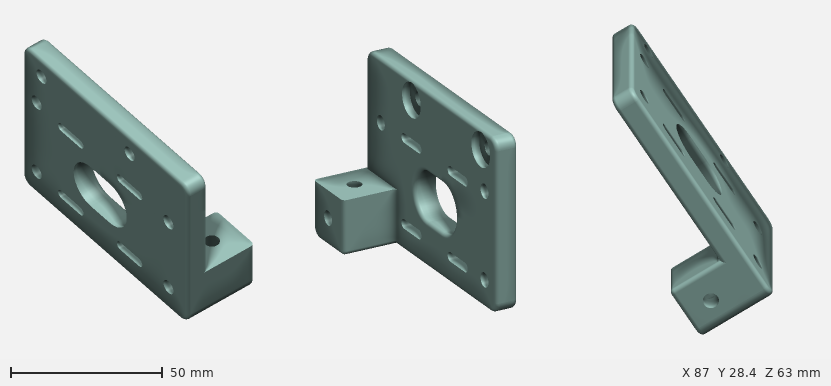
import cadquery as cq

plate_length = 87.0
plate_thickness = 8.4
plate_height = 63.0
corner_radius = 4.0
edge_radius = 1.5

block_size = 20.0
block_left = plate_length - block_size
block_back = plate_thickness + block_size
block_center_x = block_left + block_size / 2
block_center_y = plate_thickness + block_size / 2
block_center_z = block_size / 2

hole_diameter = 5.3
left_hole_x = 7.5
right_hole_x = block_center_x
side_holes = [
    (left_hole_x, 42.0),
    (left_hole_x, block_center_z),
    (right_hole_x, 40.0),
    (right_hole_x, block_center_z),
]
top_hole_z = 56.0
top_holes = [(10.0, top_hole_z), (56.5, top_hole_z)]

recess_diameter = 12.5
recess_depth = 3.0

opening_center = (41.0, 25.0)
opening_length = 28.0
opening_height = 18.0
slot_pitch = 31.0
slot_length = 13.4
slot_height = 3.4


def plane_at(y):
    """Workplane at the given Y with local axes (X, Z), extruding toward -Y."""
    return cq.Workplane("XZ", origin=(0, y, 0))


def make_plate():
    """Rounded plate with the large opening, whose back rim is rounded like the outer edges."""
    plate = plane_at(plate_thickness).rect(plate_length, plate_height, centered=False)
    plate = plate.extrude(plate_thickness)
    plate = plate.edges("|Y").fillet(corner_radius)
    plate = plate.faces("<Y").edges().fillet(edge_radius)
    opening = plane_at(plate_thickness).center(*opening_center).slot2D(opening_length, opening_height)
    plate = plate.cut(opening.extrude(plate_thickness))
    return plate.faces(">Y").edges().fillet(edge_radius)


def make_block():
    """Block that reaches into the plate far enough to cover the plate's rounded back edge."""
    block = plane_at(block_back).moveTo(block_left, 0).rect(block_size, block_size, centered=False)
    block = block.extrude(block_size + edge_radius)
    block = block.edges("|Y and >X and <Z").fillet(corner_radius)
    block = block.edges("|Y and <X and <Z").fillet(edge_radius)
    return block.faces(">Y").edges("not >Z").fillet(edge_radius)


def make_inside_fillet():
    """Concave strip in the corner between the block's -X face and the plate."""
    return (
        cq.Workplane("XY", origin=(0, 0, edge_radius))
        .moveTo(block_left - edge_radius, plate_thickness)
        .radiusArc((block_left, plate_thickness + edge_radius), -edge_radius)
        .lineTo(block_left, plate_thickness)
        .close()
        .extrude(block_size - edge_radius)
    )


def make_pins(points, diameter, y, depth):
    """Cylinders along Y, starting at the given Y and running toward -Y."""
    return plane_at(y).pushPoints(points).circle(diameter / 2).extrude(depth)


def make_slots():
    slots = plane_at(plate_thickness).center(*opening_center).rarray(slot_pitch, slot_pitch, 2, 2)
    return slots.slot2D(slot_length, slot_height).extrude(plate_thickness)


def make_block_hole():
    hole = cq.Workplane("XY").center(block_center_x, block_center_y)
    return hole.circle(hole_diameter / 2).extrude(block_size)


body = make_plate().union(make_block()).union(make_inside_fillet())
body = body.cut(make_slots())
body = body.cut(make_pins(top_holes + side_holes, hole_diameter, block_back, block_back))
body = body.cut(make_pins(top_holes, recess_diameter, plate_thickness, recess_depth))
body = body.cut(make_block_hole())

result = body